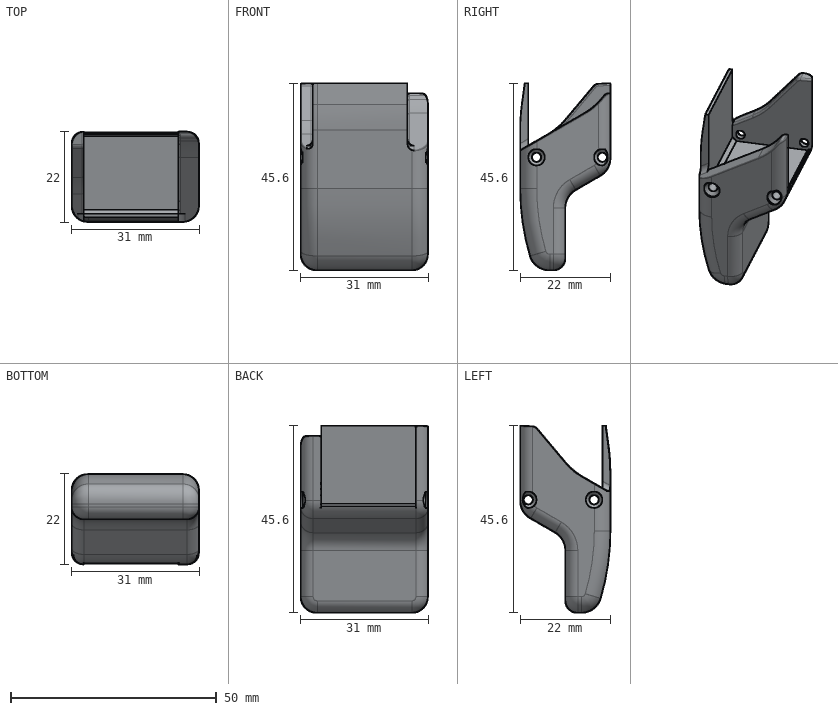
import cadquery as cq
import math

WIDTH = 31.0
DEPTH = 22.0
HEIGHT = 45.6

PLATE_THICKNESS = 2.0
TAPER_ANGLE = 7.8
TAPER_RADIUS = 45.6
TAPER_START_Z = 34.28
BELLY_TOP_Z = 20.05
BELLY_RADIUS = 58.25
TOE_RADIUS = 5.0
TAIL_BACK_Y = 11.05
BEND_RADIUS = 5.0
BEND_BOTTOM_Z = 15.22
BACK_SLOPE = 30.0

FRONT_ROUND = 4.0
BACK_ROUND = 3.0

LEFT_WALL = 3.0
RIGHT_WALL = 5.0
LIP_Z = 26.0
LIP_HEIGHT = 0.35
LIP_RUN = 0.5
LIP_FOOT_Y = 20.85
FRONT_BEVEL = 1.0

LOW_SLOPE = 30.0
HIGH_SLOPE = 50.0
LOW_SLOPE_Z = 29.2
SLOPE_BEND_RADIUS = 15.0
ARM_TOP_RADIUS = 1.5
LEFT_BEND_Y = 6.95
RIGHT_BEND_Y = 15.73
LEFT_TOP_Z = 45.6
RIGHT_TOP_Z = 43.1
ARM_TOP_TILT = 3.0
INNER_ROUND = 0.5
OUTER_ROUND = 0.2
FOOT_ROUND = 1.5

HOLE_Z = 27.55
HOLE_YS = (4.0, 20.0)
HOLE_DIAMETER = 2.2
HEAD_DIAMETER = 4.0
HEAD_DEPTH = 0.5

FLOOR_Z = LIP_Z - LIP_HEIGHT
RIGHT_INNER_X = WIDTH - RIGHT_WALL
MARGIN = 4.55
ALL_Y = (-MARGIN, DEPTH + MARGIN)
ALL_Z = (-MARGIN, HEIGHT + MARGIN)
TINY = 0.005


def sin(angle):
    return math.sin(math.radians(angle))


def cos(angle):
    return math.cos(math.radians(angle))


def tan(angle):
    return math.tan(math.radians(angle))


def on_circle(center, radius, angle):
    return (center[0] + radius * cos(angle), center[1] + radius * sin(angle))


def box(x_range, y_range, z_range):
    sizes = [r[1] - r[0] for r in (x_range, y_range, z_range)]
    return cq.Workplane("XY").box(*sizes, centered=False).translate((x_range[0], y_range[0], z_range[0]))


def arc_to(sketch, center, radius, start, end):
    """Add an arc to a (Y, Z) outline, from start to end angle about its center."""
    middle = on_circle(center, radius, (start + end) / 2)
    return sketch.threePointArc(middle, on_circle(center, radius, end))


def body_block():
    """Side profile across the full width; only its bottom front edge is round."""
    taper_center = (TAPER_RADIUS, TAPER_START_Z)
    taper_end = on_circle(taper_center, TAPER_RADIUS, 180 - TAPER_ANGLE)
    top_front_y = taper_end[0] + (HEIGHT - taper_end[1]) * tan(TAPER_ANGLE)

    belly_center = (BELLY_RADIUS, BELLY_TOP_Z)
    toe_distance = BELLY_RADIUS - TOE_RADIUS
    toe_angle = 180 + math.degrees(math.asin((BELLY_TOP_Z - TOE_RADIUS) / toe_distance))
    toe_center = on_circle(belly_center, toe_distance, toe_angle)

    low_bend_center = (TAIL_BACK_Y + BEND_RADIUS, BEND_BOTTOM_Z)
    low_bend_end = on_circle(low_bend_center, BEND_RADIUS, 90 + BACK_SLOPE)
    high_center_y = DEPTH - BEND_RADIUS
    high_bend_y = high_center_y + BEND_RADIUS * sin(BACK_SLOPE)
    high_bend_z = low_bend_end[1] + (high_bend_y - low_bend_end[0]) * tan(BACK_SLOPE)
    high_bend_center = (high_center_y, high_bend_z + BEND_RADIUS * cos(BACK_SLOPE))

    sketch = cq.Workplane("YZ").moveTo(top_front_y, HEIGHT).lineTo(*taper_end)
    sketch = arc_to(sketch, taper_center, TAPER_RADIUS, 180 - TAPER_ANGLE, 180)
    sketch = sketch.lineTo(0, BELLY_TOP_Z)
    sketch = arc_to(sketch, belly_center, BELLY_RADIUS, 180, toe_angle)
    sketch = arc_to(sketch, toe_center, TOE_RADIUS, toe_angle, 270)
    sketch = sketch.lineTo(TAIL_BACK_Y, 0).lineTo(TAIL_BACK_Y, BEND_BOTTOM_Z)
    sketch = arc_to(sketch, low_bend_center, BEND_RADIUS, 180, 90 + BACK_SLOPE)
    sketch = sketch.lineTo(high_bend_y, high_bend_z)
    sketch = arc_to(sketch, high_bend_center, BEND_RADIUS, BACK_SLOPE - 90, 0)
    return sketch.lineTo(DEPTH, HEIGHT).close().extrude(WIDTH)


def round_body(block):
    """Round the front and bottom side edges, then the back edges that run into them."""
    def in_front(edge):
        c = edge.Center()
        on_side = min(abs(c.x), abs(c.x - WIDTH)) < TINY
        return on_side and c.z < HEIGHT - TINY and c.y < TAIL_BACK_Y - TINY

    front_edges = [e for e in block.edges().vals() if in_front(e)]
    block = block.newObject(front_edges).fillet(FRONT_ROUND)
    bottom_back = cq.selectors.NearestToPointSelector((WIDTH / 2, TAIL_BACK_Y, 0))
    return block.edges(bottom_back).fillet(BACK_ROUND)


def space_above_arm(bend_y, top_z):
    """Everything above an arm's top outline, across the full width."""
    bend_start = (bend_y, LOW_SLOPE_Z + bend_y * tan(LOW_SLOPE))
    bend_center = (bend_start[0] - SLOPE_BEND_RADIUS * sin(LOW_SLOPE),
                   bend_start[1] + SLOPE_BEND_RADIUS * cos(LOW_SLOPE))
    bend_end = on_circle(bend_center, SLOPE_BEND_RADIUS, HIGH_SLOPE - 90)

    front_top_z = top_z - DEPTH * tan(ARM_TOP_TILT)
    high_slope_base_z = bend_end[1] - bend_end[0] * tan(HIGH_SLOPE)
    offset = ARM_TOP_RADIUS / cos(HIGH_SLOPE) - ARM_TOP_RADIUS / cos(ARM_TOP_TILT)
    center_y = (front_top_z - high_slope_base_z + offset) / (tan(HIGH_SLOPE) - tan(ARM_TOP_TILT))
    center_z = front_top_z + center_y * tan(ARM_TOP_TILT) - ARM_TOP_RADIUS / cos(ARM_TOP_TILT)
    center = (center_y, center_z)

    ceiling = HEIGHT + MARGIN
    sketch = cq.Workplane("YZ").moveTo(-MARGIN, ceiling)
    sketch = sketch.lineTo(-MARGIN, LOW_SLOPE_Z - MARGIN * tan(LOW_SLOPE)).lineTo(*bend_start)
    sketch = arc_to(sketch, bend_center, SLOPE_BEND_RADIUS, LOW_SLOPE - 90, HIGH_SLOPE - 90)
    sketch = sketch.lineTo(*on_circle(center, ARM_TOP_RADIUS, 90 + HIGH_SLOPE))
    sketch = arc_to(sketch, center, ARM_TOP_RADIUS, 90 + HIGH_SLOPE, 90 + ARM_TOP_TILT)
    sketch = sketch.lineTo(DEPTH + MARGIN, top_z + MARGIN * tan(ARM_TOP_TILT))
    return sketch.lineTo(DEPTH + MARGIN, ceiling).close().extrude(WIDTH)


def side_wall(body, x_range, inner_x, above):
    """One side wall with its arm, rounded along the arm's inner and outer top edges."""
    wall = body.intersect(box(x_range, ALL_Y, ALL_Z)).cut(above)
    top_faces = above.faces("not(|X)").vals()

    def top_edges():
        """Edges of the arm's top that run front to back, leaving out those straight across it."""
        found = []
        for edge in wall.edges().vals():
            middle = cq.Vertex.makeVertex(*edge.positionAt(0.5).toTuple())
            touches_top = min(face.distance(middle) for face in top_faces) < TINY
            if touches_top and abs(edge.positionAt(0).y - edge.positionAt(1).y) > TINY:
                found.append(edge)
        return found

    def inset(edge):
        return abs(edge.positionAt(0.5).x - inner_x)

    wall = wall.newObject([e for e in top_edges() if inset(e) < TINY]).fillet(INNER_ROUND)
    outer_edges = [e for e in top_edges() if inset(e) > INNER_ROUND + TINY]
    return wall.newObject(outer_edges).fillet(OUTER_ROUND)


def plate_foot(body, inner_x, outward, above):
    """Concave round where the front plate's side meets the arm's low slope."""
    def beside_plate(width, y_range):
        x_range = sorted((inner_x, inner_x + outward * width))
        return box(x_range, y_range, (FLOOR_Z, HEIGHT + MARGIN))

    slot = above.intersect(beside_plate(FOOT_ROUND + MARGIN, ALL_Y))
    plate_side = "<X" if outward > 0 else ">X"
    bottom_edge = cq.selectors.BoxSelector((0, -MARGIN, 0), (WIDTH, LEFT_BEND_Y, LOW_SLOPE_Z + MARGIN))
    slot = slot.faces(plate_side).edges(bottom_edge).edges("not(|Z)").fillet(FOOT_ROUND)
    return body.intersect(beside_plate(FOOT_ROUND, (-MARGIN, PLATE_THICKNESS))).cut(slot)


def arm_clearance(body, x_range, inner_x, outward, bend_y, top_z):
    """What has to be removed from the body above the cavity floor to shape one arm."""
    above = space_above_arm(bend_y, top_z)
    wall = side_wall(body, x_range, inner_x, above)
    foot = plate_foot(body, inner_x, outward, above)
    cut_x = sorted((inner_x, inner_x + outward * (RIGHT_WALL + MARGIN)))
    return box(cut_x, ALL_Y, (FLOOR_Z, HEIGHT + MARGIN)).cut(wall).cut(foot)


def cavity():
    """Room between the walls, with a bevel at the front of its floor and a low lip at the back."""
    outline = [
        (PLATE_THICKNESS, HEIGHT + MARGIN),
        (PLATE_THICKNESS, FLOOR_Z + FRONT_BEVEL),
        (PLATE_THICKNESS + FRONT_BEVEL, FLOOR_Z),
        (LIP_FOOT_Y, FLOOR_Z),
        (LIP_FOOT_Y + LIP_RUN, LIP_Z),
        (DEPTH + MARGIN, LIP_Z),
        (DEPTH + MARGIN, HEIGHT + MARGIN),
    ]
    room = cq.Workplane("YZ").polyline(outline).close().extrude(RIGHT_INNER_X - LEFT_WALL)
    return room.translate((LEFT_WALL, 0, 0))


def screw_holes():
    """Holes right through both walls, with a straight head recess and a 45 degree seat outside."""
    seat_depth = HEAD_DEPTH + (HEAD_DIAMETER - HOLE_DIAMETER) / 2
    half = [
        (0, 0),
        (0, HEAD_DIAMETER / 2),
        (HEAD_DEPTH, HEAD_DIAMETER / 2),
        (seat_depth, HOLE_DIAMETER / 2),
        (WIDTH - seat_depth, HOLE_DIAMETER / 2),
        (WIDTH - HEAD_DEPTH, HEAD_DIAMETER / 2),
        (WIDTH, HEAD_DIAMETER / 2),
        (WIDTH, 0),
    ]
    tool = cq.Workplane("XY").polyline(half).close().revolve(360, (0, 0), (1, 0))
    front, back = (tool.translate((0, y, HOLE_Z)) for y in HOLE_YS)
    return front.union(back)


body = round_body(body_block())
result = body.cut(cavity())
result = result.cut(arm_clearance(body, (0, LEFT_WALL), LEFT_WALL, -1, LEFT_BEND_Y, LEFT_TOP_Z))
result = result.cut(arm_clearance(body, (RIGHT_INNER_X, WIDTH), RIGHT_INNER_X, 1, RIGHT_BEND_Y, RIGHT_TOP_Z))
result = result.cut(screw_holes())